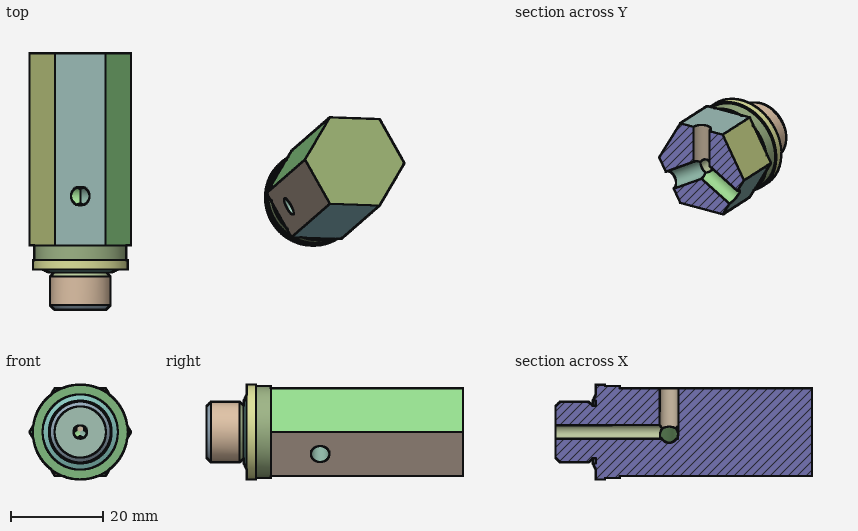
import cadquery as cq
import math

total_length = 55.63
collar_end = 13.97
washer_back = 10.77
washer_front = 8.74
lip_front = 8.1
thread_end = 7.2
tip_chamfer = 1.05

hex_across_corners = 22.0
collar_radius = 10.0
washer_radius = 10.3
lip_base_radius = 8.15
lip_inner_radius = 6.8
thread_radius = 6.6
neck_radius = 5.72

bore_diameter = 2.9
port_diameter = 4.0
port_station = 24.65
bore_overrun = 1.85
bore_depth = port_station + bore_overrun
port_count = 3
first_port_angle = 90


def hex_body():
    """Hexagonal bar with one flat facing +Z and corners on +X and -X."""
    return (
        cq.Workplane("XZ", origin=(0, total_length, 0))
        .polygon(6, hex_across_corners)
        .extrude(total_length - collar_end)
    )


def turned_end():
    """Collar, washer, sealing lip, relief neck and threaded spigot, revolved about Y."""
    return (
        cq.Workplane("XY")
        .moveTo(0, 0)
        .lineTo(thread_radius - tip_chamfer, 0)
        .lineTo(thread_radius, tip_chamfer)
        .lineTo(thread_radius, thread_end)
        .lineTo(neck_radius, lip_front)
        .lineTo(neck_radius, washer_front)
        .lineTo(lip_inner_radius, washer_front)
        .lineTo(lip_inner_radius, lip_front)
        .lineTo(lip_base_radius, washer_front)
        .lineTo(washer_radius, washer_front)
        .lineTo(washer_radius, washer_back)
        .lineTo(collar_radius, washer_back)
        .lineTo(collar_radius, collar_end)
        .lineTo(0, collar_end)
        .close()
        .revolve(360, (0, 0), (0, 1))
    )


def axial_bore():
    """Blind bore from the threaded tip to the ports."""
    return cq.Workplane("XZ").circle(bore_diameter / 2).extrude(-bore_depth)


def radial_port(angle):
    """Port from the axis out through one flat of the hexagon."""
    direction = cq.Vector(math.cos(math.radians(angle)), 0, math.sin(math.radians(angle)))
    axis_point = cq.Vector(0, port_station, 0)
    return cq.Workplane(
        cq.Solid.makeCylinder(port_diameter / 2, hex_across_corners / 2, axis_point, direction)
    )


result = hex_body().union(turned_end()).cut(axial_bore())
for port_index in range(port_count):
    result = result.cut(radial_port(first_port_angle + port_index * 360 / port_count))